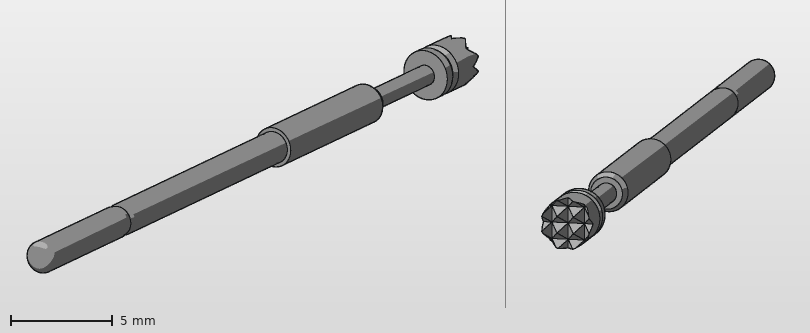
import cadquery as cq

total_length = 39.3

barrel_radius = 0.805
tail_round = 0.375
barrel_groove_y = 7.45
barrel_groove_width = 0.63
barrel_groove_depth = 0.06

sleeve_radius = 1.002
sleeve_bottom_y = 22.0
sleeve_top_y = 30.95
sleeve_chamfer_length = 0.35
sleeve_chamfer_width = 0.2

plunger_radius = 0.5

head_radius = 1.25
head_length = 3.05
head_bottom_y = total_length - head_length
head_groove_y = 37.02
head_groove_width = 0.55
head_groove_depth = 0.15

tooth_pitch = 0.83
tooth_depth = 0.63
slots_per_direction = 3


def rod(radius, y_start, y_end):
    """Round bar on the Y axis from y_start to y_end."""
    return cq.Workplane("XZ", origin=(0, y_start, 0)).circle(radius).extrude(y_start - y_end)


def v_groove(radius, depth, y_middle, width):
    """Ring with a V section that cuts a groove around a bar of the given radius."""
    section = [
        (radius - depth, y_middle),
        (radius + depth, y_middle - width),
        (radius + depth, y_middle + width),
    ]
    return cq.Workplane("XY").polyline(section).close().revolve(360, (0, 0, 0), (0, 1, 0))


def make_barrel():
    """Barrel with a rounded tail and a shallow groove; it ends where the sleeve begins."""
    barrel = rod(barrel_radius, 0, sleeve_bottom_y).faces("<Y").edges().fillet(tail_round)
    return barrel.cut(v_groove(barrel_radius, barrel_groove_depth, barrel_groove_y, barrel_groove_width))


def make_sleeve():
    """Sleeve with a tapered upper end."""
    taper_end_radius = sleeve_radius - sleeve_chamfer_width
    profile = [
        (0, sleeve_bottom_y),
        (sleeve_radius, sleeve_bottom_y),
        (sleeve_radius, sleeve_top_y - sleeve_chamfer_length),
        (taper_end_radius, sleeve_top_y),
        (0, sleeve_top_y),
    ]
    return cq.Workplane("XY").polyline(profile).close().revolve(360, (0, 0, 0), (0, 1, 0))


def make_tooth_slots():
    """V slots along X and along Z that leave a grid of pyramid points."""
    section = [
        (0, total_length - tooth_depth),
        (tooth_pitch, total_length + tooth_depth),
        (-tooth_pitch, total_length + tooth_depth),
    ]
    slot = cq.Workplane("XY").polyline(section).close().extrude(2 * head_radius, both=True)
    slots = []
    for index in range(slots_per_direction):
        offset = (index - (slots_per_direction - 1) / 2) * tooth_pitch
        slot_along_z = slot.translate((offset, 0, 0))
        slot_along_x = slot_along_z.rotate((0, 0, 0), (0, 1, 0), 90)
        slots += [slot_along_z, slot_along_x]
    return slots


def make_head():
    """Head with a groove around it and pyramid teeth on its end face."""
    head = rod(head_radius, head_bottom_y, total_length)
    head = head.cut(v_groove(head_radius, head_groove_depth, head_groove_y, head_groove_width))
    for slot in make_tooth_slots():
        head = head.cut(slot)
    return head


plunger = rod(plunger_radius, sleeve_top_y, head_bottom_y)
result = make_barrel().union(make_sleeve()).union(plunger).union(make_head())